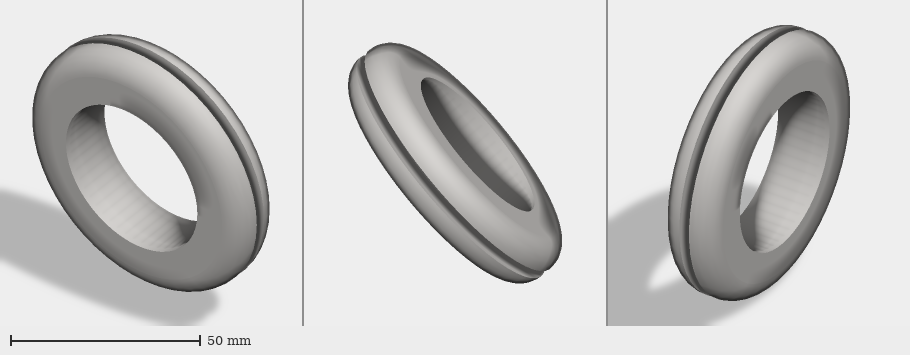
import cadquery as cq
import math

outer_diameter = 75.0
bore_diameter = 45.0
groove_diameter = 55.0
thickness = 16.0
groove_width = 3.0

outer_radius = outer_diameter / 2
bore_radius = bore_diameter / 2
groove_radius = groove_diameter / 2
half_thickness = thickness / 2
half_groove = groove_width / 2

rounding = half_thickness - half_groove
flat_face_radius = outer_radius - rounding
arc_mid_radius = flat_face_radius + rounding * math.sin(math.pi / 4)
arc_mid_height = half_groove + rounding * math.cos(math.pi / 4)

profile = (
    cq.Workplane("XY")
    .moveTo(bore_radius, -half_thickness)
    .lineTo(flat_face_radius, -half_thickness)
    .threePointArc((arc_mid_radius, -arc_mid_height), (outer_radius, -half_groove))
    .lineTo(groove_radius, -half_groove)
    .lineTo(groove_radius, half_groove)
    .lineTo(outer_radius, half_groove)
    .threePointArc((arc_mid_radius, arc_mid_height), (flat_face_radius, half_thickness))
    .lineTo(bore_radius, half_thickness)
    .close()
)

result = profile.revolve(360, (0, 0, 0), (0, 1, 0))